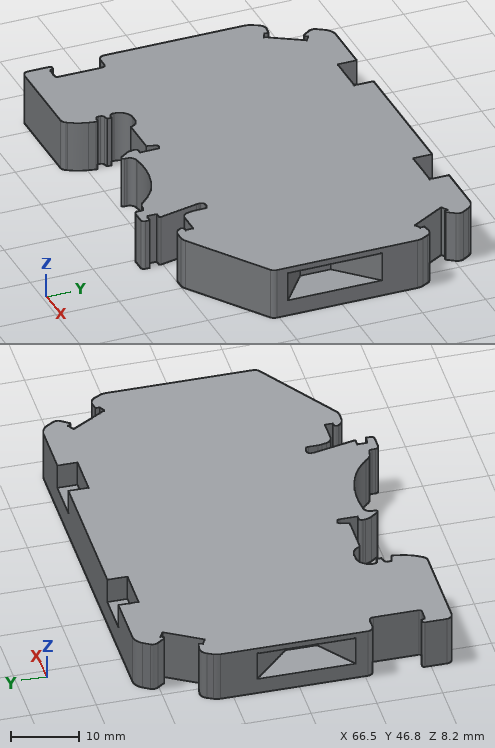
import cadquery as cq
import math

LENGTH = 66.5
HEIGHT = 46.8
THICKNESS = 8.2

NOTCH_START = 15.5
NOTCH_WIDTH = 6.45
NOTCH_HEIGHT = 3.05
NOTCH_DEPTH = THICKNESS / 2

POCKET_BOTTOM = 14.8
POCKET_TOP = 29.8
POCKET_Z_BOTTOM = 2.6
POCKET_Z_TOP = 7.25
POCKET_FLOOR_BOTTOM = 19.15
POCKET_FLOOR_TOP = 24.0
POCKET_DEPTH = POCKET_TOP - POCKET_FLOOR_TOP


FIXED_FOOT = [
    (0, 0, 1.0),
    (15.3, 0, 1.1),
    (16.6, 2.0, 8.0),
    (17.2, 5.0, 0.3),
    (15.9, 5.1, 0.45),
    (15.9, 6.25, 0.45),
    (16.95, 6.5, 0),
    (16.95, 7.25, 0),
    (15.9, 7.25, 0.7),
    (15.9, 10.2, 2.1),
    (19.9, 10.2, 1.7),
    (20.5, 8.85, 0),
]

RAIL_CLIP = [
    (26.4, 8.85, 0),
    (26.8, 10.5, 0.4),
    (27.7, 10.5, 0.45),
    (27.7, 7.3, 0),
    (26.65, 7.3, 0.45),
    (26.8, 5.85, 2.0),
    (28.5, 3.45, 0.3),
    (28.5, 5.85, 1.1),
    (32.85, 6.6, 13.95),
    (38.85, 4.8, 10.0),
    (41.6, 1.65, 1.65),
    (43.15, 1.65, 0.5),
    (43.15, 0, 0.6),
    (46.2, 0, 0.5),
    (46.2, 1.25, 0),
    (44.95, 1.25, 0.2),
    (44.95, 2.85, 0),
]

SLOT_AND_RIGHT_HOOK = [
    (46.0, 2.85, 0.2),
    (44.55, 9.5, 2.0),
    (44.55, 10.5, 0.5),
    (46.15, 10.5, 0.5),
    (46.15, 8.25, 3.3),
    (46.55, 6.25, 1.2),
    (50.8, 6.25, 0),
    (50.8, 5.05, 0),
    (49.8, 5.05, 0.45),
    (50.6, 3.5, 1.45),
    (53.15, 3.5, 1.8),
    (LENGTH, 12.5, 1.0),
]

UPPER_LEFT_SHOULDER = [
    (6.25, HEIGHT, 2.25),
    (4.6, 44.15, 1.05),
    (5.85, 42.35, 0),
    (6.25, 42.35, 0),
    (6.4, 42.8, 0),
    (7.4, 42.2, 0),
    (4.1, 36.7, 0),
    (3.2, 37.2, 0),
    (3.25, 37.85, 0),
    (1.2, 38.2, 1.4),
    (0, 35.9, 2.2),
]

END_HOOK = [
    (0, 12.05, 1.0),
    (3.1, 12.05, 0.65),
    (3.1, 4.05, 0.4),
    (0.9, 4.05, 0.3),
    (0.7, 4.65, 0),
    (0, 4.65, 0.3),
]


def mirrored(corners):
    """Mirror corners about the mid length, keeping the walking direction."""
    return [(LENGTH - x, y, radius) for x, y, radius in reversed(corners)]


def step_towards(start, target, distance):
    """Point at a distance from start on the line to target."""
    ratio = distance / math.dist(start, target)
    return tuple(a + ratio * (b - a) for a, b in zip(start, target))


def corner_arc(before, corner, after, radius):
    """Start, middle and end of the arc that rounds a corner."""
    ends = (step_towards(corner, before, 0.65), step_towards(corner, after, 0.65))
    half_angle = math.asin(math.dist(*ends) / 1.3)
    tangent_length = radius / math.tan(half_angle)
    start = step_towards(corner, before, tangent_length)
    end = step_towards(corner, after, tangent_length)
    chord_middle = tuple((a + b) / 2 for a, b in zip(start, end))
    middle = step_towards(corner, chord_middle, radius / math.sin(half_angle) - radius)
    return start, middle, end


def rounded_plate(corners):
    """Extrude a closed outline whose corners carry their own radii."""
    plate = cq.Workplane("XY").moveTo(*corners[0][:2])
    for index, (x, y, radius) in enumerate(corners):
        corner = (x, y)
        before = corners[index - 1][:2]
        after = corners[(index + 1) % len(corners)][:2]
        if radius == 0:
            plate = plate.lineTo(*corner)
            continue
        start, middle, end = corner_arc(before, corner, after, radius)
        plate = plate.moveTo(*start) if index == 0 else plate.lineTo(*start)
        plate = plate.threePointArc(middle, end)
    return plate.close().extrude(THICKNESS)


def marker_notch(x_start):
    """Cutter for one notch in the upper edge."""
    return (
        cq.Workplane("XY", origin=(x_start, HEIGHT - NOTCH_HEIGHT, THICKNESS - NOTCH_DEPTH))
        .box(NOTCH_WIDTH, NOTCH_HEIGHT, NOTCH_DEPTH, centered=False)
    )


def wire_pocket():
    """Cutter for the tapered pocket in the left end."""
    return (
        cq.Workplane("XY", origin=(0, 0, POCKET_Z_BOTTOM))
        .moveTo(0, POCKET_BOTTOM)
        .lineTo(POCKET_DEPTH, POCKET_FLOOR_BOTTOM)
        .lineTo(POCKET_DEPTH, POCKET_FLOOR_TOP)
        .lineTo(0, POCKET_TOP)
        .close()
        .extrude(POCKET_Z_TOP - POCKET_Z_BOTTOM)
    )


lower_edge = FIXED_FOOT + RAIL_CLIP + SLOT_AND_RIGHT_HOOK
upper_edge = mirrored(UPPER_LEFT_SHOULDER) + UPPER_LEFT_SHOULDER
outline = lower_edge + upper_edge + END_HOOK
result = rounded_plate(outline)

for notch_x in (NOTCH_START, LENGTH - NOTCH_START - NOTCH_WIDTH):
    result = result.cut(marker_notch(notch_x))

left_pocket = wire_pocket()
right_pocket = left_pocket.mirror("YZ", (LENGTH / 2, 0, 0))
result = result.cut(left_pocket).cut(right_pocket)